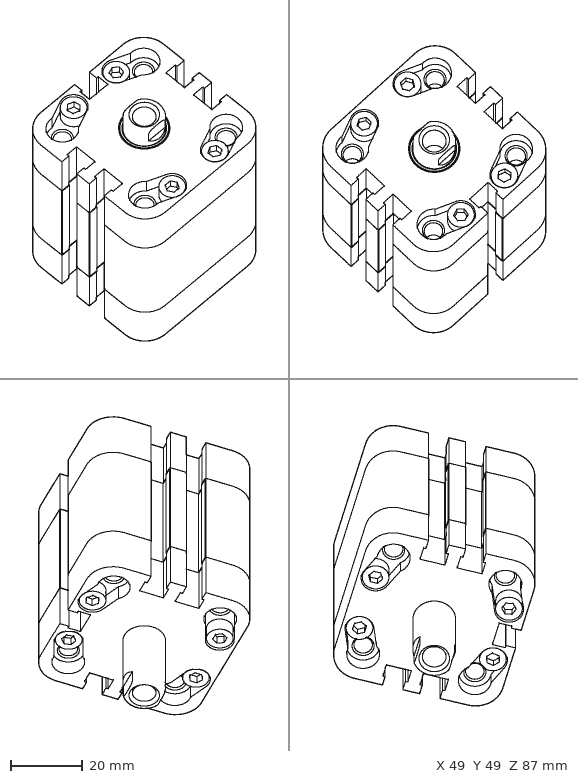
import cadquery as cq
import math


side = 49.0
corner_radius = 8.0
cap_height = 14.0
barrel_height = 31.0
body_height = barrel_height + 2 * cap_height
upper_rod_reach = 6.5
lower_rod_reach = 21.5

slot_spacing = 10.8
slot_depth = 6.6
slot_lip_depth = 2.85
slot_undercut = 0.68
cap_slot_opening = 5.9
barrel_slot_opening = 5.6
barrel_slot_chamfer = 0.2

mount_pitch = 32.5
mount_thread_diameter = 5.2
mount_mouth_diameter = 6.2
mount_pocket_diameter = 9.2
screw_x = 19.4
screw_y = 8.55
screw_pocket_diameter = 8.1
screw_head_diameter = 7.5
screw_head_height = 4.0
screw_pocket_depth = 4.6
hex_across_flats = 3.5
hex_across_corners = hex_across_flats / math.cos(math.pi / 6)
hex_depth = 2.5

cap_corners = [
    ([], 0),
    (["YZ"], 11),
    (["YZ", "XZ"], 11),
    (["XZ"], 30),
]

rod_diameter = 12.0
rod_end_rounding = 1.2
rod_flats_width = 10.0
rod_flats_length = 4.4
rod_bore_diameter = 6.65
rod_mouth_diameter = 8.57
rod_bore_depth = 12.0

wiper_outer_diameter = 14.0
wiper_rim_diameter = 13.7
wiper_lip_diameter = 12.54
wiper_height = 3.0
wiper_seat_mouth_diameter = 14.4


def slot_cutter(height, opening, chamfer):
    """T-slot cut inward (-Y) from the edge at Y = side / 2, with its mouth edges chamfered."""
    half_opening = opening / 2
    cavity_width = opening + 2 * slot_undercut
    edge_y = side / 2
    lip_y = edge_y - slot_lip_depth
    floor_y = edge_y - slot_depth
    neck_middle_y = (edge_y + floor_y) / 2
    neck = cq.Workplane("XY").center(0, neck_middle_y).rect(opening, slot_depth).extrude(height)
    cavity_depth = lip_y - floor_y
    cavity_middle_y = (lip_y + floor_y) / 2
    cavity = cq.Workplane("XY").center(0, cavity_middle_y).rect(cavity_width, cavity_depth).extrude(height)
    slot = neck.union(cavity)
    if chamfer > 0:
        mouth_section = [
            (-half_opening - chamfer, edge_y),
            (-half_opening, edge_y - chamfer),
            (half_opening, edge_y - chamfer),
            (half_opening + chamfer, edge_y),
        ]
        slot = slot.union(cq.Workplane("XY").polyline(mouth_section).close().extrude(height))
    return slot


def slotted_block(height, opening, mouth_chamfer=0):
    """Square block with round corners and five slots, standing on Z = 0."""
    block = cq.Workplane("XY").rect(side, side).extrude(height).edges("|Z").fillet(corner_radius)
    slot = slot_cutter(height, opening, mouth_chamfer)
    for angle in (0, 180):
        for offset in (-slot_spacing / 2, slot_spacing / 2):
            side_slot = slot.translate((offset, 0, 0)).rotate((0, 0, 0), (0, 0, 1), angle)
            block = block.cut(side_slot)
    return block.cut(slot.rotate((0, 0, 0), (0, 0, 1), 90))


def cone_between(bottom_diameter, top_diameter, bottom_z, height):
    """Truncated cone on the Z axis."""
    solid = cq.Solid.makeCone(
        bottom_diameter / 2, top_diameter / 2, height, cq.Vector(0, 0, bottom_z)
    )
    return cq.Workplane(solid)


def corner_cutter(hex_turn):
    """Pocket and mounting thread of the +X +Y corner, leaving the screw head standing."""
    floor_z = cap_height - screw_pocket_depth
    mount_xy = mount_pitch / 2
    run_x = screw_x - mount_xy
    run_y = screw_y - mount_xy
    run = math.hypot(run_x, run_y)
    link_angle = math.degrees(math.atan2(run_y, run_x))

    floor = cq.Workplane("XY", origin=(0, 0, floor_z))
    pocket = floor.center(mount_xy, mount_xy).circle(mount_pocket_diameter / 2).extrude(screw_pocket_depth)
    link = (
        floor.center((mount_xy + screw_x) / 2, (mount_xy + screw_y) / 2)
        .slot2D(run + screw_pocket_diameter, screw_pocket_diameter, link_angle)
        .extrude(screw_pocket_depth)
    )
    head = cq.Workplane("XY").circle(screw_head_diameter / 2).extrude(screw_head_height)
    hex_socket = (
        cq.Workplane("XY", origin=(0, 0, screw_head_height - hex_depth))
        .transformed(rotate=(0, 0, hex_turn))
        .polygon(6, hex_across_corners)
        .extrude(hex_depth)
    )
    head = head.cut(hex_socket).translate((screw_x, screw_y, floor_z))

    mouth_depth = (mount_mouth_diameter - mount_thread_diameter) / 2
    thread = cq.Workplane("XY").circle(mount_thread_diameter / 2).extrude(floor_z)
    mouth = cone_between(mount_thread_diameter, mount_mouth_diameter, floor_z - mouth_depth, mouth_depth)
    thread = thread.union(mouth).translate((mount_xy, mount_xy, 0))
    return pocket.union(link).cut(head).union(thread)


def end_cap():
    """End cap standing on Z = 0 with its pockets open upward."""
    cap = slotted_block(cap_height, cap_slot_opening)
    for mirror_planes, hex_turn in cap_corners:
        cutter = corner_cutter(hex_turn)
        for plane in mirror_planes:
            cutter = cutter.mirror(plane)
        cap = cap.cut(cutter)
    return cap.faces("<Z").workplane().circle(rod_diameter / 2).cutThruAll()


def barrel_body():
    barrel = slotted_block(barrel_height, barrel_slot_opening, barrel_slot_chamfer)
    return barrel.faces(">Z").workplane().circle(rod_diameter / 2).cutThruAll()


def wiper_ring():
    """Ring whose top carries a chamfered rim and a lip that slopes to the rod."""
    rim_drop = (wiper_outer_diameter - wiper_rim_diameter) / 2
    lip_drop = (wiper_lip_diameter - rod_diameter) / 2
    section = [
        (rod_diameter / 2, 0),
        (wiper_outer_diameter / 2, 0),
        (wiper_outer_diameter / 2, wiper_height - rim_drop),
        (wiper_rim_diameter / 2, wiper_height),
        (wiper_lip_diameter / 2, wiper_height),
        (rod_diameter / 2, wiper_height - lip_drop),
    ]
    return cq.Workplane("XZ").polyline(section).close().revolve(360, (0, 0), (0, 1))


def wiper_seat():
    """Recess that holds the wiper, with a chamfered mouth at its top."""
    mouth_depth = (wiper_seat_mouth_diameter - wiper_outer_diameter) / 2
    recess = cq.Workplane("XY").circle(wiper_outer_diameter / 2).extrude(wiper_height)
    mouth = cone_between(
        wiper_outer_diameter, wiper_seat_mouth_diameter, wiper_height - mouth_depth, mouth_depth
    )
    return recess.union(mouth)


def rod_end_cutter(end_z):
    """Bore and pair of wrench flats for a rod end that faces up at end_z."""
    mouth_depth = (rod_mouth_diameter - rod_bore_diameter) / 2
    bore = cq.Workplane("XY", origin=(0, 0, end_z)).circle(rod_bore_diameter / 2).extrude(-rod_bore_depth)
    bore = bore.union(cone_between(rod_bore_diameter, rod_mouth_diameter, end_z - mouth_depth, mouth_depth))

    flat_x = rod_flats_width / 2
    flat_step = rod_diameter / 2 - flat_x
    shoulder_z = end_z - rod_flats_length
    flat_section = [
        (flat_x, end_z),
        (flat_x, shoulder_z),
        (flat_x + flat_step, shoulder_z - flat_step),
        (flat_x + flat_step, end_z),
    ]
    flat = cq.Workplane("XZ").polyline(flat_section).close().extrude(rod_diameter / 2, both=True)
    return bore.union(flat).union(flat.mirror("YZ"))


def piston_rod():
    bottom_z = -lower_rod_reach
    top_z = body_height + upper_rod_reach
    rod = cq.Workplane("XY", origin=(0, 0, bottom_z)).circle(rod_diameter / 2).extrude(top_z - bottom_z)
    rod = rod.faces("<Z or >Z").edges().fillet(rod_end_rounding)
    upper_end = rod_end_cutter(top_z)
    lower_end = rod_end_cutter(lower_rod_reach).mirror("XY")
    return rod.cut(upper_end).cut(lower_end)


cap = end_cap()
lower_cap = cap.mirror("XY").translate((0, 0, cap_height))
barrel = barrel_body().translate((0, 0, cap_height))
wiper_z = body_height - wiper_height
upper_cap = cap.translate((0, 0, cap_height + barrel_height)).cut(wiper_seat().translate((0, 0, wiper_z)))
wiper = wiper_ring().translate((0, 0, wiper_z))
rod = piston_rod()

bodies = [lower_cap, barrel, upper_cap, rod, wiper]
result = cq.Compound.makeCompound([body.solids().val() for body in bodies])